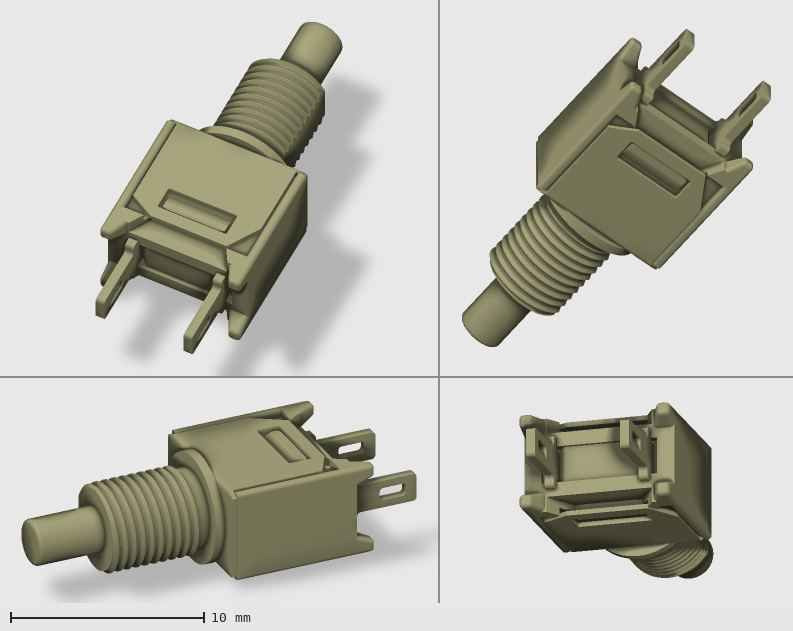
import cadquery as cq
import math


plunger_tip_y = 9.71
plunger_radius = 1.25
plunger_tip_fillet = 0.2

bushing_tip_y = 6.02
flange_radius = 6.0 / 2
flange_thickness = 0.5
neck_radius = 2.18
key_flat_x = 2.0
thread_start_y = 1.12
thread_crest_y = 1.22
thread_last_crest_y = 5.79
thread_turns = 9
thread_pitch = (thread_last_crest_y - thread_crest_y) / thread_turns
thread_root_radius = 2.22
thread_crest_radius = 2.4
thread_crest_width = 0.05
thread_root_gap = 0.02
thread_embed = 0.06
lead_radius = 2.25
lead_margin = 0.1

sheet = 0.25
bracket_half_width = 3.96
tongue_half_width = 3.45
tongue_end_y = -6.12
tongue_left_end_x = -2.05
tongue_right_end_x = 2.35
tongue_left_cut_y = -5.35
tongue_right_cut_y = -4.32
wing_top_z = 2.28
window_half_width = 2.0
window_near_y = -5.44
window_far_y = -4.13
window_corner = 0.1

housing_half_width = 4.05
half_height = 2.53
housing_face_y = -7.03
leg_tip_y = -8.07
edge_fillet = 0.2
leg_base_x = 2.95
leg_tip_x = 3.4
leg_base_z = 1.47
leg_tip_z = 1.87
channel_floor_z = 2.1
channel_half_width = 3.53
channel_end_y = -6.25
relief_floor_z = 1.72
relief_mouth_half_width = 2.85
relief_inner_half_width = 1.78
relief_inner_y = -5.23
catch_face_half_width = 1.47
catch_face_y = -5.31
catch_foot_y = -4.3
catch_knee_y = -4.69
catch_knee_z = 2.32
catch_crest_y = -4.88
catch_crest_z = 2.4

opening_half_width = 3.11
opening_half_height = 0.98
seal_back_y = -5.19
seal_recess = 0.2
groove_depth = 0.33

terminal_pitch = 5.06
terminal_thickness = 0.5
terminal_tip_y = -11.04
blade_half_height = 1.55 / 2
head_half_height = 1.41
head_end_y = -7.64
terminal_fillet = 0.2
eye_near_y = -10.44
eye_far_y = -8.92
eye_height = 0.7
eye_corner = 0.2

housing_front_y = -sheet
selection_margin = 0.02
terminal_places = [-terminal_pitch / 2, terminal_pitch / 2]


def block(x_min, x_max, y_min, y_max, z_min, z_max):
    """A box between the given limits."""
    size = (x_max - x_min, y_max - y_min, z_max - z_min)
    return cq.Workplane("XY").box(*size, centered=False).translate((x_min, y_min, z_min))


def rod(radius, y_min, y_max):
    """A cylinder on the Y axis."""
    return cq.Workplane("XZ", origin=(0, y_min, 0)).circle(radius).extrude(y_min - y_max)


def across_x(points, half_width):
    """A prism from (y, z) points, centred on X = 0."""
    return cq.Workplane("YZ").polyline(points).close().extrude(half_width, both=True)


def both_sides(shape):
    """The shape together with its mirror image below Z = 0."""
    return shape.union(shape.mirror("XY"))


def make_plunger():
    return rod(plunger_radius, 0, plunger_tip_y).faces(">Y").edges().fillet(plunger_tip_fillet)


def make_threaded_length():
    """Core with a helical ridge, built on the Z axis, turned onto +Y and trimmed to the threaded length."""
    start = thread_crest_y - thread_pitch / 2
    height = (thread_turns + 2) * thread_pitch
    path = cq.Workplane(cq.Wire.makeHelix(thread_pitch, height, thread_root_radius))
    base = (thread_pitch - thread_root_gap) / 2
    crest = thread_crest_width / 2
    inner = thread_root_radius - thread_embed
    ridge = (
        cq.Workplane("XZ")
        .polyline([
            (inner, -base), (thread_crest_radius, -crest), (thread_crest_radius, crest), (inner, base),
        ])
        .close()
        .sweep(path, isFrenet=True)
        .translate((0, 0, start))
        .rotate((0, 0, 0), (1, 0, 0), -90)
    )
    core = rod(thread_root_radius, start - thread_pitch, start + height + thread_pitch)
    envelope = rod(thread_crest_radius + lead_margin, thread_start_y, bushing_tip_y)
    envelope = envelope.faces(">Y").edges().chamfer(thread_crest_radius + lead_margin - lead_radius)
    return core.union(ridge).intersect(envelope)


def make_bushing():
    neck = rod(neck_radius, 0, thread_start_y).union(make_threaded_length())
    beyond_flat = block(key_flat_x, flange_radius, 0, bushing_tip_y, -flange_radius, flange_radius)
    flange = rod(flange_radius, 0, flange_thickness)
    bore = rod(plunger_radius, 0, bushing_tip_y)
    return neck.cut(beyond_flat).union(flange).cut(bore)


def make_bracket():
    """Front plate with two tongues folded back over the housing."""
    inner_z = half_height - sheet
    wrap = block(-bracket_half_width, bracket_half_width, tongue_end_y, 0, -half_height, half_height)
    wrap = wrap.faces(">Y").edges("|X").fillet(sheet)
    wrap = wrap.cut(
        block(-bracket_half_width, bracket_half_width, tongue_end_y, housing_front_y, -inner_z, inner_z)
    )
    plan = (
        cq.Workplane("XY")
        .polyline([
            (-bracket_half_width, 0), (bracket_half_width, 0),
            (bracket_half_width, housing_front_y), (tongue_half_width, housing_front_y),
            (tongue_half_width, tongue_right_cut_y), (tongue_right_end_x, tongue_end_y),
            (tongue_left_end_x, tongue_end_y), (-tongue_half_width, tongue_left_cut_y),
            (-tongue_half_width, housing_front_y), (-bracket_half_width, housing_front_y),
        ])
        .close()
        .extrude(half_height, both=True)
    )
    elevation = (
        cq.Workplane("XZ")
        .polyline([
            (-bracket_half_width, -wing_top_z), (-tongue_half_width, -half_height),
            (tongue_half_width, -half_height), (bracket_half_width, -wing_top_z),
            (bracket_half_width, wing_top_z), (tongue_half_width, half_height),
            (-tongue_half_width, half_height), (-bracket_half_width, wing_top_z),
        ])
        .close()
        .extrude(-tongue_end_y)
    )
    elevation = elevation.union(elevation.mirror("XZ"))
    windows = block(
        -window_half_width, window_half_width, window_near_y, window_far_y, -half_height, half_height
    ).edges("|Z").fillet(window_corner)
    return wrap.intersect(plan).intersect(elevation).cut(windows)


def make_housing_shell():
    """Rounded block with four tapered feet at its rear corners."""
    shell = block(
        -housing_half_width, housing_half_width, leg_tip_y, housing_front_y, -half_height, half_height
    ).edges("|Y").fillet(edge_fillet)
    gap_across = across_x(
        [
            (housing_face_y, -leg_base_z), (leg_tip_y, -leg_tip_z),
            (leg_tip_y, leg_tip_z), (housing_face_y, leg_base_z),
        ],
        housing_half_width,
    )
    gap_upright = (
        cq.Workplane("XY")
        .polyline([
            (-leg_base_x, housing_face_y), (-leg_tip_x, leg_tip_y),
            (leg_tip_x, leg_tip_y), (leg_base_x, housing_face_y),
        ])
        .close()
        .extrude(half_height, both=True)
    )
    shell = shell.cut(gap_across).cut(gap_upright)
    zone_x = housing_half_width + selection_margin
    zone_z = half_height + selection_margin
    foot_zone = cq.selectors.BoxSelector(
        (-zone_x, leg_tip_y - selection_margin, -zone_z),
        (zone_x, housing_face_y - edge_fillet / 2, zone_z),
    )
    return shell.edges(foot_zone).fillet(edge_fillet)


def make_channel():
    """Space for the upper tongue: vertical walls with rounded top edges."""
    lip_x = channel_half_width + edge_fillet
    lip_z = half_height - edge_fillet
    bend = edge_fillet * (1 - math.sqrt(0.5))
    return (
        cq.Workplane("XZ", origin=(0, channel_end_y, 0))
        .moveTo(-lip_x, half_height)
        .threePointArc((-channel_half_width - bend, half_height - bend), (-channel_half_width, lip_z))
        .lineTo(-channel_half_width, channel_floor_z)
        .lineTo(channel_half_width, channel_floor_z)
        .lineTo(channel_half_width, lip_z)
        .threePointArc((channel_half_width + bend, half_height - bend), (lip_x, half_height))
        .close()
        .extrude(channel_end_y - housing_front_y)
    )


def make_relief():
    """Flared pocket under the free end of the upper tongue."""
    return (
        cq.Workplane("XY", origin=(0, 0, relief_floor_z))
        .polyline([
            (-relief_mouth_half_width, housing_face_y), (-relief_inner_half_width, relief_inner_y),
            (-catch_face_half_width, catch_face_y), (catch_face_half_width, catch_face_y),
            (relief_inner_half_width, relief_inner_y), (relief_mouth_half_width, housing_face_y),
        ])
        .close()
        .extrude(half_height - relief_floor_z)
    )


def make_catch():
    """Ramped catch that snaps into the window of the upper tongue."""
    return across_x(
        [
            (catch_foot_y, channel_floor_z), (catch_knee_y, catch_knee_z), (catch_crest_y, catch_crest_z),
            (catch_face_y, catch_crest_z), (catch_face_y, channel_floor_z),
        ],
        relief_inner_half_width,
    )


def make_housing():
    opening = block(
        -opening_half_width, opening_half_width, housing_face_y, seal_back_y,
        -opening_half_height, opening_half_height,
    )
    return (
        make_housing_shell()
        .cut(both_sides(make_channel()))
        .union(both_sides(make_catch()))
        .cut(both_sides(make_relief()))
        .cut(opening)
    )


def make_terminal(x):
    blade_x = (x - terminal_thickness / 2, x + terminal_thickness / 2)
    head = block(*blade_x, head_end_y, housing_face_y, -head_half_height, head_half_height)
    head = head.edges("|X").fillet(terminal_fillet)
    blade = block(*blade_x, terminal_tip_y, seal_back_y, -blade_half_height, blade_half_height)
    blade = blade.faces("<Y").edges("|X").fillet(terminal_fillet)
    roots = cq.selectors.BoxSelector(
        (blade_x[0], head_end_y - selection_margin, -blade_half_height - selection_margin),
        (blade_x[1], head_end_y + selection_margin, blade_half_height + selection_margin),
    )
    eye = block(*blade_x, eye_near_y, eye_far_y, -eye_height / 2, eye_height / 2)
    eye = eye.edges("|X").fillet(eye_corner)
    return head.union(blade).edges("|X").edges(roots).fillet(terminal_fillet).cut(eye)


def make_seal(terminals):
    """Plug in the rear opening, with a V groove around each terminal and a slot where it passes through."""
    outer_y = housing_face_y + seal_recess
    groove_half_width = opening_half_width - terminal_pitch / 2
    seal = block(
        -opening_half_width, opening_half_width, outer_y, seal_back_y,
        -opening_half_height, opening_half_height,
    )
    for x in terminal_places:
        groove = (
            cq.Workplane("XY")
            .polyline([
                (x - groove_half_width, outer_y),
                (x - terminal_thickness / 2, outer_y + groove_depth),
                (x + terminal_thickness / 2, outer_y + groove_depth),
                (x + groove_half_width, outer_y),
            ])
            .close()
            .extrude(opening_half_height, both=True)
        )
        seal = seal.cut(groove)
    for terminal in terminals:
        seal = seal.cut(terminal)
    return seal


plunger = make_plunger()
bushing = make_bushing()
bracket = make_bracket()
housing = make_housing()
terminals = [make_terminal(x) for x in terminal_places]
seal = make_seal(terminals)

bodies = [plunger, bushing, bracket, housing, seal, *terminals]
result = cq.Compound.makeCompound([body.solids().val() for body in bodies])